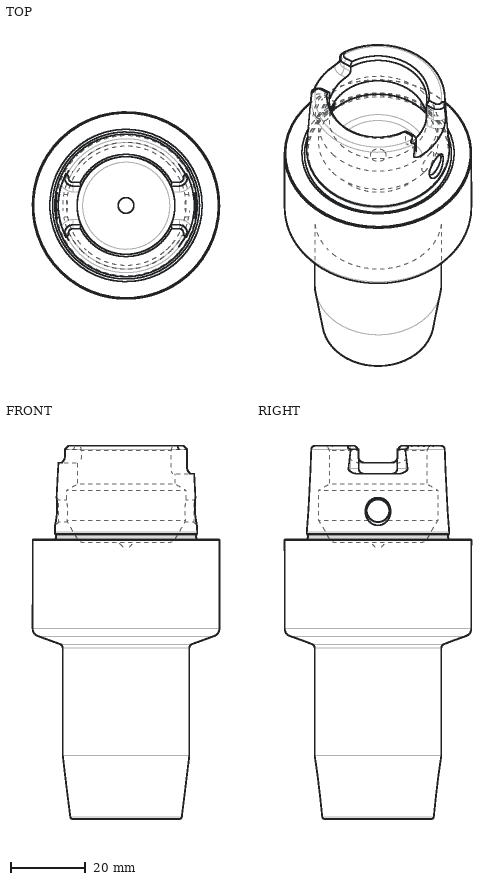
import cadquery as cq
import math

total_height = 99.9
face_z = 74.9
collar_radius = 50.0 / 2
body_radius = 17.0

collar_edge_chamfer = 0.3
under_slope = 20.0
under_slope_z = 46.6
collar_lower_round = 2.2
neck_round = 1.0

nose_height = 17.1
nose_radius = 14.9
nose_round = 0.8

shank_top_radius = 17.9
shank_base_radius = 19.1
shank_base_z = 76.9
land_bottom_z = 76.3
rim_round = 1.0

undercut_radius = 18.8
undercut_round = 0.9
recess_depth = 0.3
recess_outer_radius = 20.4

bore_radius = 13.1
bore_rim_radius = 13.7
bore_rim_depth = 1.2
bore_mouth_end_z = 89.7
chamber_radius = 16.0
chamber_shoulder_slope = 30.0
chamber_wall_end_z = 80.0
chamber_floor_radius = 12.6
chamber_floor_round = 1.6
lower_cone_half_angle = 30.0
dimple_radius = 2.1
dimple_half_angle = 45.0

left_slot_z = 95.4
right_slot_z = 92.4
slot_half_width = 5.2
slot_corner_radius = 2.2
slot_corner_x = 14.2
slot_floor_round = 1.5
slot_rim_chamfer = 1.0
slot_inner_x = 6.0
slot_outer_x = 24.0
slot_outer_half_width = 14.0

cross_hole_z = 82.5
cross_hole_radius = 3.0
countersink_start_x = 18.1
countersink_length = 2.0


def edges_at(radius, z):
    """Selector box around the full circular edge of one radius and height."""
    margin = 0.01
    reach = radius + margin
    return cq.selectors.BoxSelector(
        (-reach, -reach, z - margin), (reach, reach, z + margin), boundingbox=True
    )


def make_outer_body():
    """Turned outer shape: nose, body, collar and shank."""
    under_rise = (collar_radius - body_radius) * math.tan(math.radians(under_slope))
    collar_bottom_z = under_slope_z + under_rise
    recess_z = face_z - recess_depth
    undercut_top_z = recess_z + undercut_round
    arc_leg = undercut_round * (1 - math.sqrt(0.5))
    profile = (
        cq.Workplane("XZ")
        .moveTo(0, 0)
        .lineTo(nose_radius, 0)
        .lineTo(body_radius, nose_height)
        .lineTo(body_radius, under_slope_z)
        .lineTo(collar_radius, collar_bottom_z)
        .lineTo(collar_radius, face_z - collar_edge_chamfer)
        .lineTo(collar_radius - collar_edge_chamfer, face_z)
        .lineTo(recess_outer_radius, face_z)
        .lineTo(undercut_radius + undercut_round, recess_z)
        .threePointArc(
            (undercut_radius + arc_leg, recess_z + arc_leg), (undercut_radius, undercut_top_z)
        )
        .lineTo(undercut_radius, land_bottom_z - (shank_base_radius - undercut_radius))
        .lineTo(shank_base_radius, land_bottom_z)
        .lineTo(shank_base_radius, shank_base_z)
        .lineTo(shank_top_radius, total_height)
        .lineTo(0, total_height)
        .close()
    )
    body = profile.revolve(360, (0, 0), (0, 1))
    body = body.edges(edges_at(nose_radius, 0)).fillet(nose_round)
    body = body.edges(edges_at(collar_radius, collar_bottom_z)).fillet(collar_lower_round)
    body = body.edges(edges_at(body_radius, under_slope_z)).fillet(neck_round)
    return body.faces(">Z").edges().fillet(rim_round)


def make_bore():
    """Chamfered bore, its wider chamber narrowing to a round-cornered floor, and a centre dimple."""
    shoulder_drop = (chamber_radius - bore_radius) * math.tan(math.radians(chamber_shoulder_slope))
    cone_drop = (chamber_radius - chamber_floor_radius) / math.tan(math.radians(lower_cone_half_angle))
    chamber_floor_z = chamber_wall_end_z - cone_drop
    dimple_depth = dimple_radius / math.tan(math.radians(dimple_half_angle))
    bore = (
        cq.Workplane("XZ")
        .moveTo(0, chamber_floor_z)
        .lineTo(chamber_floor_radius, chamber_floor_z)
        .lineTo(chamber_radius, chamber_wall_end_z)
        .lineTo(chamber_radius, bore_mouth_end_z - shoulder_drop)
        .lineTo(bore_radius, bore_mouth_end_z)
        .lineTo(bore_radius, total_height - bore_rim_depth)
        .lineTo(bore_rim_radius, total_height)
        .lineTo(0, total_height)
        .close()
        .revolve(360, (0, 0), (0, 1))
        .edges(edges_at(chamber_floor_radius, chamber_floor_z))
        .fillet(chamber_floor_round)
    )
    dimple = (
        cq.Workplane("XZ")
        .moveTo(0, chamber_floor_z - dimple_depth)
        .lineTo(dimple_radius, chamber_floor_z)
        .lineTo(0, chamber_floor_z)
        .close()
        .revolve(360, (0, 0), (0, 1))
    )
    return bore.union(dimple)


def slot_outline(floor_z, spread=0.0):
    """Slot outline on the +X side; spread widens it evenly."""
    half_width = slot_half_width + spread
    corner_radius = slot_corner_radius - spread
    corner_y = slot_half_width + slot_corner_radius
    corner_end_x = slot_corner_x + corner_radius
    arc_x = slot_corner_x + corner_radius * math.sqrt(0.5)
    arc_y = corner_y - corner_radius * math.sqrt(0.5)
    return (
        cq.Workplane("XY", origin=(0, 0, floor_z))
        .moveTo(slot_inner_x, -half_width)
        .lineTo(slot_corner_x, -half_width)
        .threePointArc((arc_x, -arc_y), (corner_end_x, -corner_y))
        .lineTo(corner_end_x, -slot_outer_half_width)
        .lineTo(slot_outer_x, -slot_outer_half_width)
        .lineTo(slot_outer_x, slot_outer_half_width)
        .lineTo(corner_end_x, slot_outer_half_width)
        .lineTo(corner_end_x, corner_y)
        .threePointArc((arc_x, arc_y), (slot_corner_x, half_width))
        .lineTo(slot_inner_x, half_width)
        .close()
    )


def make_slot(floor_z):
    """Drive slot on the +X side, rounded at the floor and flared at the rim."""
    flare_z = total_height - slot_rim_chamfer
    slot = slot_outline(floor_z).extrude(total_height - floor_z)
    slot = slot.faces("<Z").edges().fillet(slot_floor_round)
    lower_wire = slot_outline(flare_z).val()
    upper_wire = slot_outline(total_height, slot_rim_chamfer).val()
    flare = cq.Solid.makeLoft([lower_wire, upper_wire], True)
    return slot.union(cq.Workplane(flare))


def make_cross_hole():
    """Hole along X through both shank walls, countersunk at each end."""
    countersink_end_x = countersink_start_x + countersink_length
    mouth_radius = cross_hole_radius + countersink_length
    return (
        cq.Workplane("XY", origin=(0, 0, cross_hole_z))
        .moveTo(-countersink_end_x, 0)
        .lineTo(-countersink_end_x, mouth_radius)
        .lineTo(-countersink_start_x, cross_hole_radius)
        .lineTo(countersink_start_x, cross_hole_radius)
        .lineTo(countersink_end_x, mouth_radius)
        .lineTo(countersink_end_x, 0)
        .close()
        .revolve(360, (0, 0), (1, 0))
    )


right_slot = make_slot(right_slot_z)
left_slot = make_slot(left_slot_z).rotate((0, 0, 0), (0, 0, 1), 180)

hollow_body = make_outer_body().cut(make_bore())
result = hollow_body.cut(right_slot).cut(left_slot).cut(make_cross_hole())